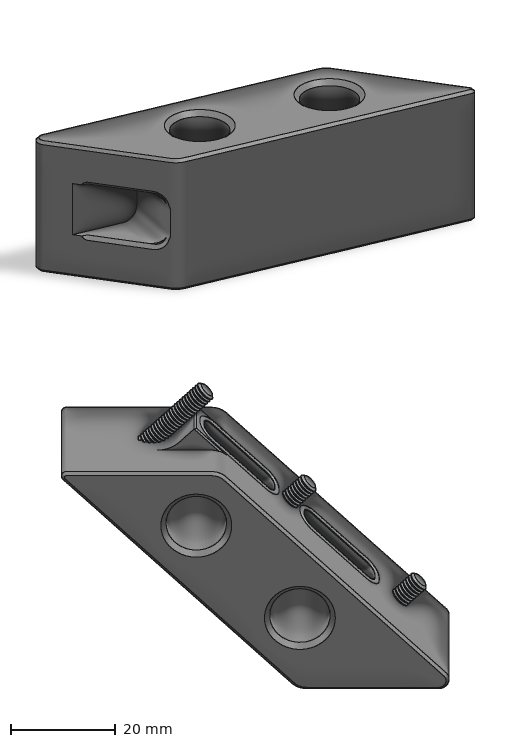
import cadquery as cq
import math

length = 84.05
height = 28.0
thickness = 22.4
obtuse_radius = 4.0
front_tip_radius = 2.0
back_tip_radius = 1.0
edge_chamfer = 0.6

tip_loss = math.sqrt(2)
back_tip_y = length / 2 + tip_loss * back_tip_radius
front_tip_y = -length / 2 - tip_loss * front_tip_radius
front_corner_y = back_tip_y - thickness
back_corner_y = front_tip_y + thickness

port_z = 0.5

hole_diameter = 11.5
hole_chamfer = 1.0
hole_x = thickness / 2
hole_ys = (16.2, -11.8)

slot_ys = (15.8, -11.3)
slot_width = 5.1
slot_length = 19.0
slot_end_flat = 1.1
slot_straight_depth = 1.35
slot_inner_length = 9.6
slot_bend_radius = 3.4
seal_path_width = 7.2
seal_path_length = 20.25
seal_cord_diameter = 1.2
seal_proud = 0.3

stud_ys = (30.2, 2.3, -27.5)
stud_diameter = 4.0
thread_root_diameter = 3.3
stud_end_diameter = 3.0
stud_reach = 5.55
thread_pitch = 0.7
crest_width = 0.14
stud_seat_depth = 2.5

tab_width = 10.0
tab_end_y = 27.7
tab_root_fillet = 6.0
tab_chamfer = 0.3

notch_width = 10.9
notch_x = 7.6
notch_end_x = 21.4
notch_fillet = 3.0
flare_depth = 0.75
flare_x = 8.7
flare_end_x = 21.3
flare_inner_radius = 1.4
flare_outer_radius = 3.4


def fillet_upright_edge(solid, x, y, radius):
    nearest = cq.selectors.NearestToPointSelector((x, y, 0))
    return solid.edges("|Z").edges(nearest).fillet(radius)


def make_block():
    outline = [
        (0, front_tip_y),
        (thickness, back_corner_y),
        (thickness, back_tip_y),
        (0, front_corner_y),
    ]
    block = cq.Workplane("XY").workplane(offset=-height / 2).polyline(outline).close().extrude(height)
    corners = zip(outline, (front_tip_radius, obtuse_radius, back_tip_radius, obtuse_radius))
    for (x, y), radius in corners:
        block = fillet_upright_edge(block, x, y, radius)
    return block.faces("<Z or >Z").edges().chamfer(edge_chamfer)


def make_hole(y):
    chamfer_radius = hole_diameter / 2 + hole_chamfer
    profile = [
        (0, -height / 2),
        (chamfer_radius, -height / 2),
        (hole_diameter / 2, -height / 2 + hole_chamfer),
        (hole_diameter / 2, height / 2 - hole_chamfer),
        (chamfer_radius, height / 2),
        (0, height / 2),
    ]
    hole = cq.Workplane("XZ").polyline(profile).close().revolve(360, (0, 0), (0, 1))
    return hole.translate((hole_x, y, 0))


def make_slot(y):
    """Pocket with round-edged ends that run straight at the mouth and then taper into the hole."""
    outline = [
        (0, -slot_length / 2),
        (slot_straight_depth, -slot_length / 2),
        (hole_x, -slot_inner_length / 2),
        (hole_x, slot_inner_length / 2),
        (slot_straight_depth, slot_length / 2),
        (0, slot_length / 2),
    ]
    plane = cq.Workplane("XY", origin=(0, y, port_z - slot_width / 2))
    slot = plane.polyline(outline).close().extrude(slot_width)
    for end_y in (y - slot_length / 2, y + slot_length / 2):
        slot = fillet_upright_edge(slot, slot_straight_depth, end_y, slot_bend_radius)
    end_edges = slot.edges("not(|Z or |Y)")
    return end_edges.fillet((slot_width - slot_end_flat) / 2)


def make_seal(y):
    """Round cord laid around a slot, sunk so that it stands slightly proud of the block face."""
    cord_x = seal_cord_diameter / 2 - seal_proud
    corner_radius = (seal_path_width - slot_end_flat) / 2
    frame = cq.Workplane("YZ", origin=(cord_x, y, port_z)).rect(seal_path_length, seal_path_width).val()
    path = frame.fillet2D(corner_radius, frame.Vertices())
    section = cq.Workplane("XZ", origin=(cord_x, y, port_z + seal_path_width / 2))
    return section.circle(seal_cord_diameter / 2).sweep(path)


def slant_x(y):
    """X where the block surface begins at a given Y."""
    return max(0, y - front_corner_y)


def make_stud(y):
    """Stud along X with ring-shaped thread ridges and a chamfered free end."""
    root_x = slant_x(y) + stud_seat_depth
    root_radius = thread_root_diameter / 2
    crest_radius = stud_diameter / 2
    tip_chamfer = root_radius - stud_end_diameter / 2
    profile = [
        (-stud_reach, 0),
        (-stud_reach, stud_end_diameter / 2),
        (-stud_reach + tip_chamfer, root_radius),
    ]
    ridge_start = -stud_reach + tip_chamfer
    ridge_count = math.floor((root_x - ridge_start) / thread_pitch)
    for i in range(ridge_count):
        x = ridge_start + i * thread_pitch
        profile += [
            (x + (thread_pitch - crest_width) / 2, crest_radius),
            (x + (thread_pitch + crest_width) / 2, crest_radius),
            (x + thread_pitch, root_radius),
        ]
    profile += [(root_x, root_radius), (root_x, 0)]
    stud = cq.Workplane("XY").polyline(profile).close().revolve(360, (0, 0), (1, 0))
    return stud.translate((0, y, port_z))


def make_tab():
    """Wedge flush with the X = 0 face, blended into the upper slanted end by a concave fillet."""
    root_x = slant_x(tab_end_y)
    start_y = front_corner_y - obtuse_radius
    fillet_reach = tab_root_fillet * math.tan(math.pi / 8)
    slant_step = fillet_reach / math.sqrt(2)
    plane = cq.Workplane("XY", origin=(0, 0, port_z - tab_width / 2))
    wedge = (
        plane.moveTo(0, start_y)
        .lineTo(0, tab_end_y)
        .lineTo(root_x - fillet_reach, tab_end_y)
        .radiusArc((root_x + slant_step, tab_end_y + slant_step), -tab_root_fillet)
        .lineTo(root_x + slant_step, start_y)
        .close()
        .extrude(tab_width)
    )
    return wedge.faces("<X").edges().chamfer(tab_chamfer)


def make_notch():
    """Channel along X; on the 45 degree face its floor depth in Y equals the X where it runs out."""
    plane = cq.Workplane("XY", origin=(notch_x, front_tip_y, port_z - notch_width / 2))
    channel = plane.rect(thickness, notch_end_x, centered=False).extrude(notch_width)
    return channel.edges("|X and >Y").fillet(notch_fillet)


def make_notch_flare():
    """45 degree flare that opens the notch sides towards the lower slanted face."""
    middle_x = (flare_x + flare_end_x) / 2
    flare_length = (flare_end_x - flare_x) * math.sqrt(2)
    mouth = (
        cq.Sketch()
        .rect(flare_length, notch_width + 2 * flare_depth)
        .vertices(">X")
        .fillet(flare_outer_radius)
        .reset()
        .vertices("<X")
        .fillet(flare_inner_radius)
    )
    mouth_centre = (middle_x, front_tip_y + middle_x, port_z)
    plane = cq.Plane(origin=mouth_centre, xDir=(1, 1, 0), normal=(-1, 1, 0))
    return cq.Workplane(plane).placeSketch(mouth).extrude(flare_depth, taper=45)


result = make_block().union(make_tab())
for hole_y in hole_ys:
    result = result.cut(make_hole(hole_y))
for slot_y in slot_ys:
    result = result.cut(make_slot(slot_y)).union(make_seal(slot_y))
result = result.cut(make_notch()).cut(make_notch_flare())
for stud_y in stud_ys:
    result = result.union(make_stud(stud_y))